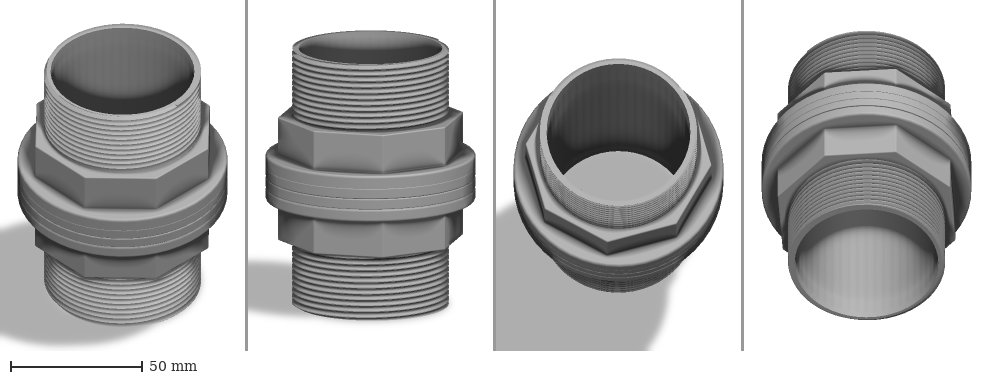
import cadquery as cq
TUBE_LENGTH = 100.0
TUBE_DIAMETER = 60.0
BORE_DIAMETER = 54.8
THREAD_TURNS = 43.3
THREAD_DEPTH = 1.6
CREST_WIDTH = 0.3
ROOT_WIDTH = 0.3
CUTTER_OVERHANG = 0.1
CUTTER_TURNS = 13
LOWER_CUTTER_START = -53.5
UPPER_CUTTER_TURN = 32

FLANGE_DIAMETER = 80.0
RING_THICKNESS = 4.0
RING_OUTER_ROUND = 0.3
RING_INNER_ROUND = 0.5
FLANGE_THICKNESS = 5.0
FLANGE_ROUND = 1.0

OCTAGON_SIDES = 8
OCTAGON_WIDTH = 66.0
OCTAGON_HEIGHT = 15.0
OCTAGON_CORNER_ROUND = 1.0
OCTAGON_TOP_ROUND = 0.5
OCTAGON_ROOT_ROUND = 0.5
SELECTION_MARGIN = 0.1

THREAD_PITCH = TUBE_LENGTH / THREAD_TURNS
TUBE_RADIUS = TUBE_DIAMETER / 2
FLANGE_TOP = RING_THICKNESS + FLANGE_THICKNESS


def make_groove(start_z):
    """Helical cutter, narrower at the root, that begins at start_z and climbs CUTTER_TURNS turns."""
    half_root = ROOT_WIDTH / 2
    half_mouth = (THREAD_PITCH - CREST_WIDTH) / 2
    slope = (half_mouth - half_root) / THREAD_DEPTH
    half_back = half_mouth + slope * CUTTER_OVERHANG
    helix = cq.Wire.makeHelix(THREAD_PITCH, CUTTER_TURNS * THREAD_PITCH, TUBE_RADIUS)
    groove = (
        cq.Workplane("XZ")
        .moveTo(TUBE_RADIUS - THREAD_DEPTH, -half_root)
        .lineTo(TUBE_RADIUS - THREAD_DEPTH, half_root)
        .lineTo(TUBE_RADIUS + CUTTER_OVERHANG, half_back)
        .lineTo(TUBE_RADIUS + CUTTER_OVERHANG, -half_back)
        .close()
        .sweep(cq.Workplane(obj=helix), isFrenet=True)
    )
    return groove.translate((0, 0, start_z))


def make_half_tube(bottom_z, cutter_start):
    """Half of the tube's length, with one threaded end."""
    base_plane = cq.Plane(origin=(0, 0, bottom_z), xDir=(-1, 0, 0), normal=(0, 0, 1))
    half = (
        cq.Workplane(base_plane)
        .circle(TUBE_RADIUS)
        .circle(BORE_DIAMETER / 2)
        .extrude(TUBE_LENGTH / 2)
    )
    return half.cut(make_groove(cutter_start))


def make_tube():
    """Both halves joined into one tube; the two threads lie on the same helix."""
    upper_cutter_start = LOWER_CUTTER_START + UPPER_CUTTER_TURN * THREAD_PITCH
    lower_half = make_half_tube(-TUBE_LENGTH / 2, LOWER_CUTTER_START)
    upper_half = make_half_tube(0, upper_cutter_start)
    return lower_half.union(upper_half)


def make_ring():
    """Ring that lies on the plane Z = 0, rounded at both outer edges."""
    return (
        cq.Workplane("XY")
        .circle(FLANGE_DIAMETER / 2)
        .extrude(RING_THICKNESS)
        .faces(">Z").edges().fillet(RING_OUTER_ROUND)
        .faces("<Z").edges().fillet(RING_INNER_ROUND)
        .circle(TUBE_RADIUS)
        .cutThruAll()
    )


def make_flange(inner_round):
    """Octagonal grip on a round flange; inner_round is the radius at the edge next to the ring."""
    flange = (
        cq.Workplane("XY", origin=(0, 0, RING_THICKNESS))
        .circle(FLANGE_DIAMETER / 2)
        .extrude(FLANGE_THICKNESS)
        .faces(">Z").edges().fillet(FLANGE_ROUND)
    )
    if inner_round > 0:
        flange = flange.faces("<Z").edges().fillet(inner_round)
    grip = (
        cq.Workplane("XY", origin=(0, 0, FLANGE_TOP))
        .polygon(OCTAGON_SIDES, OCTAGON_WIDTH, circumscribed=True)
        .extrude(OCTAGON_HEIGHT)
        .edges("|Z").fillet(OCTAGON_CORNER_ROUND)
        .faces(">Z").edges().fillet(OCTAGON_TOP_ROUND)
    )
    root_edges = cq.selectors.BoxSelector(
        (-OCTAGON_WIDTH, -OCTAGON_WIDTH, FLANGE_TOP - SELECTION_MARGIN),
        (OCTAGON_WIDTH, OCTAGON_WIDTH, FLANGE_TOP + SELECTION_MARGIN),
    )
    return (
        flange.union(grip)
        .edges(root_edges).edges("not %CIRCLE or (not #Z)")
        .fillet(OCTAGON_ROOT_ROUND)
        .faces(">Z").workplane()
        .circle(TUBE_RADIUS)
        .cutThruAll()
    )


def turned_over(body):
    return body.rotate((0, 0, 0), (0, 1, 0), 180)


tube = make_tube()
rings = [make_ring(), turned_over(make_ring())]
flanges = [make_flange(0), turned_over(make_flange(FLANGE_ROUND))]

result = cq.Compound.makeCompound([tube.val()] + [body.val() for body in rings + flanges])